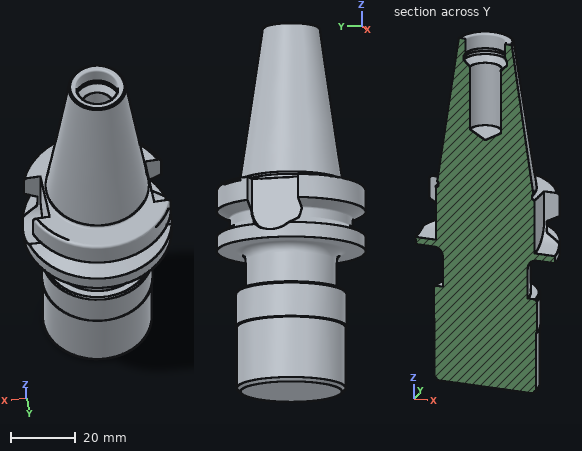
import cadquery as cq
import math

TOTAL_HEIGHT = 114.4
GAUGE_HEIGHT = 66.0
FLANGE_TOP = 64.1
FLANGE_BOTTOM = 44.0
COLLAR_TOP = 31.3
COLLAR_BOTTOM = 20.1

TAPER_RATIO = 7 / 24
GAUGE_RADIUS = 15.9
TIP_RADIUS = GAUGE_RADIUS - (TOTAL_HEIGHT - GAUGE_HEIGHT) * TAPER_RATIO / 2
TIP_CHAMFER_WIDTH = 0.5
TIP_CHAMFER_HEIGHT = 0.3

RELIEF_RADIUS = 15.5
RELIEF_TAPER_HEIGHT = 0.7
RELIEF_FILLET = 0.8

FLANGE_RADIUS = 23.0
FLANGE_FILLET = 1.0
GROOVE_RADIUS = 19.0
GROOVE_TOP = 56.5
GROOVE_BOTTOM = 48.6
GROOVE_CORNER_FILLET = 0.5
GROOVE_SLOPE_HEIGHT = (FLANGE_RADIUS - GROOVE_RADIUS) * math.tan(math.radians(30))

NECK_RADIUS = 14.1
NECK_FILLET = 3.0
COLLAR_RADIUS = 17.0
COLLAR_CHAMFER = 0.6
NOSE_RADIUS = 16.8
NOSE_CHAMFER = 1.1

SLOT_WIDTH = 16.1
SLOT_FLOOR_X = 16.4
SLOT_BOTTOM = 46.6

BORE_RADIUS = 6.4
BORE_DEPTH = 4.8
BORE_MOUTH_FILLET = 0.7
UNDERCUT_RADIUS = 7.1
UNDERCUT_WIDTH = 1.0
UNDERCUT_SLOPE_HEIGHT = (UNDERCUT_RADIUS - BORE_RADIUS) / math.tan(math.radians(30))
LOWER_HOLE_RADIUS = 5.0
LOWER_HOLE_DEPTH = 29.7
LOWER_HOLE_TIP_HEIGHT = LOWER_HOLE_RADIUS * math.tan(math.radians(30))

ROUND_MID = 1 - math.sqrt(0.5)


def turned_body():
    """Revolve the outer profile, drawn from the nose up to the tip."""
    profile = (
        cq.Workplane("XZ")
        .lineTo(NOSE_RADIUS - NOSE_CHAMFER, 0)
        .lineTo(NOSE_RADIUS, NOSE_CHAMFER)
        .lineTo(NOSE_RADIUS, COLLAR_BOTTOM)
        .lineTo(COLLAR_RADIUS, COLLAR_BOTTOM + COLLAR_RADIUS - NOSE_RADIUS)
        .lineTo(COLLAR_RADIUS, COLLAR_TOP - COLLAR_CHAMFER)
        .lineTo(COLLAR_RADIUS - COLLAR_CHAMFER, COLLAR_TOP)
        .lineTo(NECK_RADIUS, COLLAR_TOP)
        .lineTo(NECK_RADIUS, FLANGE_BOTTOM - NECK_FILLET)
        .threePointArc(
            (NECK_RADIUS + NECK_FILLET * ROUND_MID, FLANGE_BOTTOM - NECK_FILLET * ROUND_MID),
            (NECK_RADIUS + NECK_FILLET, FLANGE_BOTTOM),
        )
        .lineTo(FLANGE_RADIUS, FLANGE_BOTTOM)
        .lineTo(FLANGE_RADIUS, GROOVE_BOTTOM)
        .lineTo(GROOVE_RADIUS, GROOVE_BOTTOM + GROOVE_SLOPE_HEIGHT)
        .lineTo(GROOVE_RADIUS, GROOVE_TOP - GROOVE_SLOPE_HEIGHT)
        .lineTo(FLANGE_RADIUS, GROOVE_TOP)
        .lineTo(FLANGE_RADIUS, FLANGE_TOP - FLANGE_FILLET)
        .threePointArc(
            (FLANGE_RADIUS - FLANGE_FILLET * ROUND_MID, FLANGE_TOP - FLANGE_FILLET * ROUND_MID),
            (FLANGE_RADIUS - FLANGE_FILLET, FLANGE_TOP),
        )
        .lineTo(RELIEF_RADIUS + RELIEF_FILLET, FLANGE_TOP)
        .threePointArc(
            (RELIEF_RADIUS + RELIEF_FILLET * ROUND_MID, FLANGE_TOP + RELIEF_FILLET * ROUND_MID),
            (RELIEF_RADIUS, FLANGE_TOP + RELIEF_FILLET),
        )
        .lineTo(RELIEF_RADIUS, GAUGE_HEIGHT - RELIEF_TAPER_HEIGHT)
        .lineTo(GAUGE_RADIUS, GAUGE_HEIGHT)
        .lineTo(TIP_RADIUS, TOTAL_HEIGHT - TIP_CHAMFER_HEIGHT)
        .lineTo(TIP_RADIUS - TIP_CHAMFER_WIDTH, TOTAL_HEIGHT)
        .lineTo(0, TOTAL_HEIGHT)
        .close()
    )
    return profile.revolve(360, (0, 0), (0, 1))


def round_groove_corners(body):
    """Fillet the two circular edges at the floor of the V groove."""
    axis_reach = 1.1
    floor_edges = cq.selectors.BoxSelector(
        (-axis_reach, -axis_reach, GROOVE_BOTTOM + GROOVE_SLOPE_HEIGHT / 2),
        (axis_reach, axis_reach, GROOVE_TOP - GROOVE_SLOPE_HEIGHT / 2),
    )
    return body.edges(floor_edges).fillet(GROOVE_CORNER_FILLET)


def bore():
    """Blind bore: rounded mouth, undercut, then a narrower drilled hole."""
    undercut_top = TOTAL_HEIGHT - BORE_DEPTH - UNDERCUT_SLOPE_HEIGHT
    undercut_bottom = undercut_top - UNDERCUT_WIDTH
    lower_hole_top = undercut_bottom - (UNDERCUT_RADIUS - LOWER_HOLE_RADIUS)
    lower_hole_bottom = TOTAL_HEIGHT - LOWER_HOLE_DEPTH
    profile = (
        cq.Workplane("XZ")
        .moveTo(0, TOTAL_HEIGHT)
        .lineTo(BORE_RADIUS + BORE_MOUTH_FILLET, TOTAL_HEIGHT)
        .threePointArc(
            (BORE_RADIUS + BORE_MOUTH_FILLET * ROUND_MID, TOTAL_HEIGHT - BORE_MOUTH_FILLET * ROUND_MID),
            (BORE_RADIUS, TOTAL_HEIGHT - BORE_MOUTH_FILLET),
        )
        .lineTo(BORE_RADIUS, TOTAL_HEIGHT - BORE_DEPTH)
        .lineTo(UNDERCUT_RADIUS, undercut_top)
        .lineTo(UNDERCUT_RADIUS, undercut_bottom)
        .lineTo(LOWER_HOLE_RADIUS, lower_hole_top)
        .lineTo(LOWER_HOLE_RADIUS, lower_hole_bottom)
        .lineTo(0, lower_hole_bottom - LOWER_HOLE_TIP_HEIGHT)
        .close()
    )
    return profile.revolve(360, (0, 0), (0, 1))


def drive_slot(side):
    """Round-bottomed slot open to the flange top; side is -1 or +1 along X."""
    slot_radius = SLOT_WIDTH / 2
    arc_center = SLOT_BOTTOM + slot_radius
    profile = (
        cq.Workplane("YZ", origin=(side * SLOT_FLOOR_X, 0, 0))
        .moveTo(-slot_radius, FLANGE_TOP)
        .lineTo(-slot_radius, arc_center)
        .threePointArc((0, SLOT_BOTTOM), (slot_radius, arc_center))
        .lineTo(slot_radius, FLANGE_TOP)
        .close()
    )
    return profile.extrude(side * FLANGE_RADIUS)


result = round_groove_corners(turned_body()).cut(bore())
for slot_side in (-1, 1):
    result = result.cut(drive_slot(slot_side))